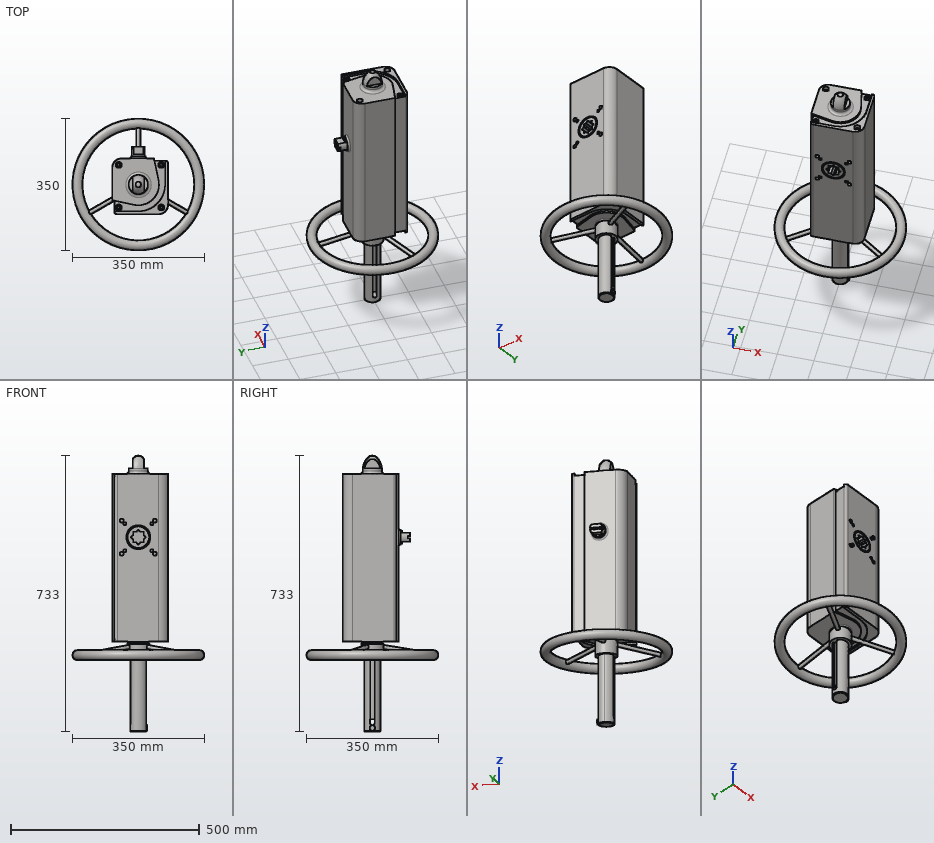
import cadquery as cq
import math

TOTAL_HEIGHT = 733.0
BODY_BOTTOM = 239.0
BODY_TOP = 684.0
HUB_TOP = 234.5
PORT_Z = 516.0

SIDE = 69.5
SHELL_SIDE = 79.0
SHELL_END = 64.0
BIG_CORNER = 26.0
SHELL_CORNER = 7.0
STEP_CORNER = 3.0

CHANNEL_DEPTH = 6.0
CHANNEL_INNER_RADIUS = 55.0
CHANNEL_OUTER_RADIUS = 71.0
CHANNEL_TILT = math.radians(12)

SCREW_CENTER = 4.5
SCREW_PITCH = 113.0
SCREW_HEAD_DIA = 16.0
SCREW_HEAD_DEPTH = 12.0
SCREW_DIA = 8.0
SCREW_DEPTH = 7.0

INDICATOR_RADIUS = 26.0
INDICATOR_FILLET = 8.0
INDICATOR_STEP_Z = 699.0
INDICATOR_BLADE = 31.0
TIP_RADIUS = 7.0
TIP_HEIGHT = 1.5

COLLAR_DIA = 54.0
COLLAR_HEIGHT = BODY_BOTTOM - HUB_TOP
COLLAR_FILLET = 4.0

STEM_COLLAR_DIA = 39.0
STEM_COLLAR_LENGTH = 6.0
STEM_FILLET = 4.5
STEM_DIA = 35.0
STEM_LENGTH = 31.0
STEM_FLAT_START = 10.0
STEM_FLAT_HEIGHT = 24.0
STEM_SLOT_WIDTH = 5.0
STEM_SLOT_DEPTH = 6.0

PORT_RING_OUTER_DIA = 64.0
PORT_RING_INNER_DIA = 57.0
PORT_RING_DEPTH = 1.0
STAR_SIDE = 28.0
STAR_DEPTH = 29.0
OUTER_BOLT_DIA = 10.0
OUTER_BOLT_OFFSET = 44.0
INNER_BOLT_DIA = 8.0
INNER_BOLT_OFFSET = 36.0
BOLT_DEPTH = 11.0

WHEEL_DIA = 350.0
RIM_DIA = 27.0
RIM_Z = 203.0
SPOKE_COUNT = 3
SPOKE_DIA = 12.0
SPOKE_START = 22.0
SPOKE_RISE = 23.0
HUB_DIA = 60.0
HUB_CHAMFER = 3.0
HUB_BOTTOM = 190.5
SPINDLE_DIA = 44.0
SPINDLE_CHAMFER = 2.0
SLOT_WIDTH = 12.0
SLOT_BOTTOM = 17.0
WINDOW_TOP = 32.0
SLOT_DEPTH = 4.5
BUTTON_DIA = 15.0
BUTTON_PROUD = 2.0
BUTTON_Z = 9.5


def mirrored(point):
    """Reflect an XY point about the diagonal y = -x."""
    return (-point[1], -point[0])


def inner_wall_point(x):
    """Point at x on the straight run of the channel's inner wall that leaves the -X side."""
    return (x, -(CHANNEL_INNER_RADIUS + math.sin(CHANNEL_TILT) * x) / math.cos(CHANNEL_TILT))


def on_diagonal(radius):
    """Point at a distance from the axis towards the (+X, -Y) corner."""
    return (radius * math.sqrt(0.5), -radius * math.sqrt(0.5))


def channel(bottom):
    """Curved channel between the main block and the shell, running out at both stepped ends."""
    start = inner_wall_point(-SHELL_SIDE)
    tangent = inner_wall_point(-CHANNEL_INNER_RADIUS * math.sin(CHANNEL_TILT))
    outer_tangent = (0, -CHANNEL_OUTER_RADIUS)
    outer_start = (-SHELL_SIDE, -CHANNEL_OUTER_RADIUS)
    return (
        cq.Workplane("XY", origin=(0, 0, bottom))
        .moveTo(*start)
        .lineTo(*tangent)
        .threePointArc(on_diagonal(CHANNEL_INNER_RADIUS), mirrored(tangent))
        .lineTo(*mirrored(start))
        .lineTo(*mirrored(outer_start))
        .lineTo(*mirrored(outer_tangent))
        .threePointArc(on_diagonal(CHANNEL_OUTER_RADIUS), outer_tangent)
        .lineTo(*outer_start)
        .close()
        .extrude(CHANNEL_DEPTH)
    )


def vertical_edge_at(point):
    """Selector for the full-height housing edge at an XY point."""
    middle = (point[0], point[1], (BODY_BOTTOM + BODY_TOP) / 2)
    return cq.selectors.NearestToPointSelector(middle)


def housing_block():
    """Prism of the housing with its rounded vertical corners."""
    main_corner = (-SIDE, SIDE)
    step_outer = inner_wall_point(-SIDE)
    step_inner = inner_wall_point(-SHELL_END)
    shell_end = (-SHELL_END, -SHELL_SIDE)
    shell_corner = (SHELL_SIDE, -SHELL_SIDE)
    outline = [
        main_corner, step_outer, step_inner, shell_end, shell_corner,
        mirrored(shell_end), mirrored(step_inner), mirrored(step_outer),
    ]
    block = (
        cq.Workplane("XY", origin=(0, 0, BODY_BOTTOM))
        .polyline(outline)
        .close()
        .extrude(BODY_TOP - BODY_BOTTOM)
    )
    roundings = [
        (main_corner, BIG_CORNER),
        (shell_corner, BIG_CORNER),
        (shell_end, SHELL_CORNER),
        (mirrored(shell_end), SHELL_CORNER),
        (step_outer, STEP_CORNER),
        (mirrored(step_outer), STEP_CORNER),
    ]
    for point, radius in roundings:
        block = block.edges(vertical_edge_at(point)).fillet(radius)
    return block


def screw_holes():
    """Stepped holes for the four cover screws."""
    floor = BODY_TOP - SCREW_HEAD_DEPTH
    places = cq.Workplane("XY", origin=(SCREW_CENTER, -SCREW_CENTER, floor)).rect(
        SCREW_PITCH, SCREW_PITCH, forConstruction=True
    ).vertices()
    heads = places.circle(SCREW_HEAD_DIA / 2).extrude(SCREW_HEAD_DEPTH)
    shanks = places.circle(SCREW_DIA / 2).extrude(-SCREW_DEPTH)
    return heads.union(shanks)


def flared_post(radius, fillet, height):
    """Round post along +Z from the XY plane, with a concave fillet at its foot."""
    bend = fillet * (1 - math.sqrt(0.5))
    return (
        cq.Workplane("XZ")
        .lineTo(radius + fillet, 0)
        .threePointArc((radius + bend, bend), (radius, fillet))
        .lineTo(radius, height)
        .lineTo(0, height)
        .close()
        .revolve(360, (0, 0, 0), (0, 1, 0))
    )


def indicator():
    """Domed indicator with a flat-sided blade above a round foot."""
    foot_height = INDICATOR_STEP_Z - BODY_TOP
    foot = flared_post(INDICATOR_RADIUS, INDICATOR_FILLET, foot_height).translate((0, 0, BODY_TOP))
    shoulder = (19.0, 718.0)
    dome = (
        cq.Workplane("XZ")
        .moveTo(0, INDICATOR_STEP_Z)
        .lineTo(INDICATOR_RADIUS, INDICATOR_STEP_Z)
        .threePointArc(shoulder, (TIP_RADIUS, TOTAL_HEIGHT - TIP_HEIGHT))
        .lineTo(0, TOTAL_HEIGHT)
        .close()
        .revolve(360, (0, 0, 0), (0, 1, 0))
    )
    blade = cq.Workplane("XY").box(INDICATOR_BLADE, 2 * INDICATOR_RADIUS, 2 * TOTAL_HEIGHT)
    return foot.union(dome.intersect(blade))


def collar():
    """Short flared collar that carries the handwheel."""
    post = flared_post(COLLAR_DIA / 2, COLLAR_FILLET, COLLAR_HEIGHT)
    return post.mirror("XY").translate((0, 0, BODY_BOTTOM))


def shaft_end():
    """Output shaft end with two flats and a cross slot, standing on the +Y face."""
    collar_part = flared_post(STEM_COLLAR_DIA / 2, STEM_FILLET, STEM_COLLAR_LENGTH)
    stem = cq.Workplane("XY").circle(STEM_DIA / 2).extrude(STEM_FLAT_START)
    blade = (
        cq.Workplane("XY", origin=(0, 0, STEM_FLAT_START))
        .circle(STEM_DIA / 2)
        .extrude(STEM_LENGTH - STEM_FLAT_START)
    )
    flats = cq.Workplane("XY").box(STEM_DIA, STEM_FLAT_HEIGHT, 2 * STEM_LENGTH)
    slot = cq.Workplane("XY", origin=(0, 0, STEM_LENGTH)).box(
        STEM_DIA, STEM_SLOT_WIDTH, 2 * STEM_SLOT_DEPTH
    )
    post = collar_part.union(stem).union(blade.intersect(flats)).cut(slot)
    return post.rotate((0, 0, 0), (1, 0, 0), -90).translate((0, SIDE, PORT_Z))


def drive_port():
    """Cuts in the -Y face: ring groove, eight-pointed socket and four pairs of bolt holes."""
    face = cq.Workplane("XZ", origin=(0, -SHELL_SIDE, PORT_Z))
    cuts = face.circle(PORT_RING_OUTER_DIA / 2).circle(PORT_RING_INNER_DIA / 2).extrude(-PORT_RING_DEPTH)
    square = face.rect(STAR_SIDE, STAR_SIDE).extrude(-STAR_DEPTH)
    for turn in (0, 45):
        cuts = cuts.union(square.rotate((0, 0, PORT_Z), (0, 1, PORT_Z), turn))
    bolt_sizes = [(OUTER_BOLT_DIA, OUTER_BOLT_OFFSET), (INNER_BOLT_DIA, INNER_BOLT_OFFSET)]
    for diameter, offset in bolt_sizes:
        holes = (
            face.rect(2 * offset, 2 * offset, forConstruction=True)
            .vertices()
            .circle(diameter / 2)
            .extrude(-BOLT_DEPTH)
        )
        cuts = cuts.union(holes)
    return cuts


def make_housing():
    """Actuator housing with its indicator, collar and output shaft end."""
    body = housing_block()
    for channel_bottom in (BODY_BOTTOM, BODY_TOP - CHANNEL_DEPTH):
        body = body.cut(channel(channel_bottom))
    body = body.cut(screw_holes()).cut(drive_port())
    return body.union(indicator()).union(collar()).union(shaft_end())


def slot_cutter():
    """Lengthwise slot through the spindle, leaving the core whole above the window."""
    half_width = SLOT_WIDTH / 2
    arc_z = SLOT_BOTTOM + half_width
    slot = (
        cq.Workplane("YZ")
        .moveTo(-half_width, HUB_BOTTOM)
        .lineTo(-half_width, arc_z)
        .threePointArc((0, SLOT_BOTTOM), (half_width, arc_z))
        .lineTo(half_width, HUB_BOTTOM)
        .close()
        .extrude(SPINDLE_DIA, both=True)
    )
    core_radius = SPINDLE_DIA / 2 - SLOT_DEPTH
    core = cq.Workplane("XY", origin=(0, 0, WINDOW_TOP)).circle(core_radius).extrude(HUB_TOP - WINDOW_TOP)
    return slot.cut(core)


def hub_and_spindle():
    """Hub turned in one piece with the slotted spindle, with a button near the free end."""
    hub_radius = HUB_DIA / 2
    spindle_radius = SPINDLE_DIA / 2
    turned = (
        cq.Workplane("YZ")
        .lineTo(spindle_radius - SPINDLE_CHAMFER, 0)
        .lineTo(spindle_radius, SPINDLE_CHAMFER)
        .lineTo(spindle_radius, HUB_BOTTOM)
        .lineTo(hub_radius, HUB_BOTTOM)
        .lineTo(hub_radius, HUB_TOP - HUB_CHAMFER)
        .lineTo(hub_radius - HUB_CHAMFER, HUB_TOP)
        .lineTo(0, HUB_TOP)
        .close()
        .revolve(360, (0, 0, 0), (0, 1, 0))
    )
    button = (
        cq.Workplane("YZ", origin=(0, 0, BUTTON_Z))
        .circle(BUTTON_DIA / 2)
        .extrude(spindle_radius + BUTTON_PROUD)
    )
    return turned.cut(slot_cutter()).union(button)


def make_handwheel():
    """Rim, sloping spokes, hub and spindle."""
    rim_radius = (WHEEL_DIA - RIM_DIA) / 2
    rim_section = cq.Plane(origin=(rim_radius, 0, RIM_Z), xDir=(0, 0, 1), normal=(0, 1, 0))
    wheel = (
        cq.Workplane(rim_section)
        .circle(RIM_DIA / 2)
        .revolve(360, (0, -rim_radius, 0), (1, -rim_radius, 0))
    )
    along_spoke = cq.Vector(0, rim_radius - SPOKE_START, -SPOKE_RISE)
    spoke_start = (0, SPOKE_START, RIM_Z + SPOKE_RISE)
    spoke_plane = cq.Plane(origin=spoke_start, xDir=(1, 0, 0), normal=along_spoke)
    spoke = cq.Workplane(spoke_plane).circle(SPOKE_DIA / 2).extrude(along_spoke.Length)
    for i in range(SPOKE_COUNT):
        turned_spoke = spoke.rotate((0, 0, 0), (0, 0, 1), i * 360 / SPOKE_COUNT)
        wheel = wheel.union(turned_spoke, clean=False)
    return wheel.union(hub_and_spindle(), clean=False)


housing = make_housing()
handwheel = make_handwheel()
result = cq.Compound.makeCompound([housing.val(), handwheel.val()])